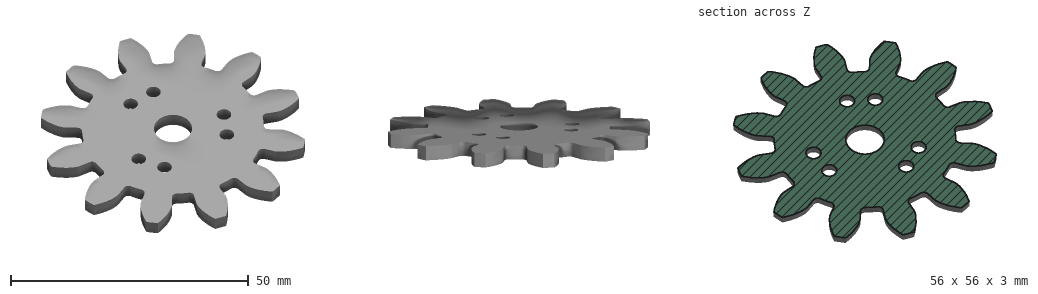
import cadquery as cq
import math

tooth_count = 12
outer_diameter = 56.0
root_diameter = 38.3
thickness = 3.0
pressure_angle = math.radians(20.0)
root_fillet = 1.0
bore_diameter = 8.0

hole_diameter = 3.1
hole_circle_radius = 11.5
hole_pair_count = 3
hole_pair_angles = (60.0, 90.0)

module = outer_diameter / (tooth_count + 2)
outer_radius = outer_diameter / 2
pitch_radius = module * tooth_count / 2
base_radius = pitch_radius * math.cos(pressure_angle)
root_radius = root_diameter / 2
tooth_pitch = 2 * math.pi / tooth_count
flank_spans = 8


def involute(angle):
    return math.tan(angle) - angle


def polar(radius, angle):
    return (radius * math.cos(angle), radius * math.sin(angle))


def flank_half_angle(radius):
    """Half of the angle a tooth spans at a radius on its involute flank."""
    local_pressure_angle = math.acos(min(1.0, base_radius / radius))
    return tooth_pitch / 4 + involute(pressure_angle) - involute(local_pressure_angle)


def flank(center_angle, side):
    """Involute points from base circle to tip; side is -1 or +1."""
    steps = [(i / flank_spans) ** 2 for i in range(flank_spans + 1)]
    radii = [base_radius + (outer_radius - base_radius) * step for step in steps]
    return [polar(radius, center_angle + side * flank_half_angle(radius)) for radius in radii]


def gear_blank():
    """Toothed plate: radial lines run from the root circle to the base circle."""
    base_half_angle = flank_half_angle(base_radius)
    outline = cq.Workplane("XY").moveTo(*polar(root_radius, -base_half_angle))
    for tooth in range(tooth_count):
        center = tooth * tooth_pitch
        rising = flank(center, -1)
        falling = flank(center, 1)[::-1]
        next_tooth_start = center + tooth_pitch - base_half_angle
        outline = (
            outline.lineTo(*rising[0])
            .spline(rising[1:], includeCurrent=True)
            .threePointArc(polar(outer_radius, center), falling[0])
            .spline(falling[1:], includeCurrent=True)
            .lineTo(*polar(root_radius, center + base_half_angle))
            .threePointArc(
                polar(root_radius, center + tooth_pitch / 2),
                polar(root_radius, next_tooth_start),
            )
        )
    return outline.close().extrude(thickness)


def round_roots(gear):
    """Fillet the upright edges where the radial lines meet the root circle."""

    def at_root(edge):
        middle = edge.Center()
        return math.hypot(middle.x, middle.y) < (root_radius + base_radius) / 2

    corners = [edge for edge in gear.edges("|Z").vals() if at_root(edge)]
    return gear.newObject(corners).fillet(root_fillet)


def mounting_hole_centers():
    pair_pitch = 360.0 / hole_pair_count
    return [
        polar(hole_circle_radius, math.radians(angle + pair * pair_pitch))
        for pair in range(hole_pair_count)
        for angle in hole_pair_angles
    ]


def through_holes(diameter, centers):
    return cq.Workplane("XY").pushPoints(centers).circle(diameter / 2).extrude(thickness)


gear = round_roots(gear_blank())
bore = through_holes(bore_diameter, [(0.0, 0.0)])
mounting_holes = through_holes(hole_diameter, mounting_hole_centers())
result = gear.cut(bore).cut(mounting_holes)